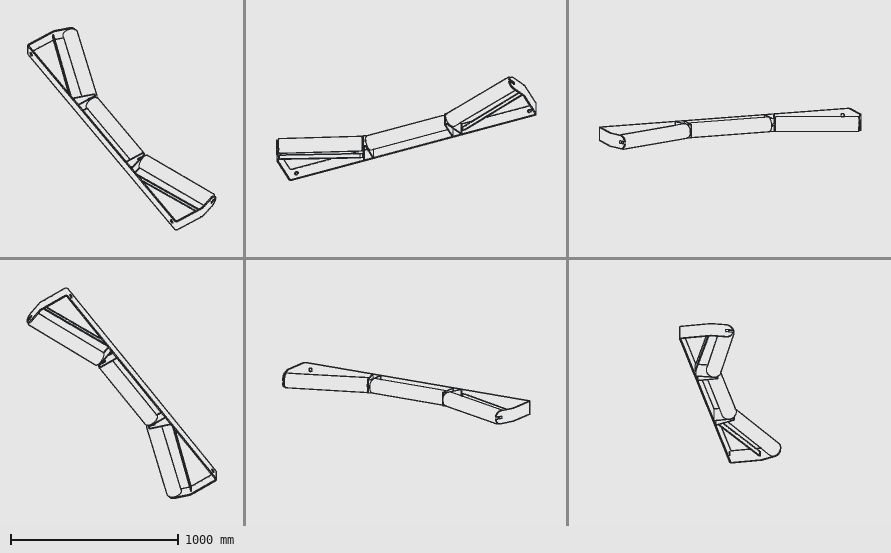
import cadquery as cq
import math

frame_length = 1600.0
strip_width = 80.0
frame_thickness = 8.0
corner_radius = 15.0
arm_bend_radius = 16.0
arm_tip_rise = 35.0

hole_diameter = 22.0
hole_x = 754.0

roller_diameter = 90.0
roller_length = 500.0
roller_edge_radius = 5.0
roller_gap = 5.0
shaft_diameter = 20.0
shaft_flat_width = 15.0

center_roller_y = 100.0
wing_angle = 20.0
wing_x = 520.0
wing_y = 195.0

bracket_thickness = 5.0
bracket_top_y = 131.0
bracket_bend_radius = 8.0

strut_thickness = 6.0
strut_width = 30.0
strut_wall_y = 187.0
strut_foot_x = 325.0

support_face = roller_length / 2 + roller_gap
arm_far_face = support_face + frame_thickness
bracket_far_face = support_face + bracket_thickness

tilt = math.radians(wing_angle)
wall_outer_x = -frame_length / 2
wall_inner_x = wall_outer_x + frame_thickness



def on_center(shape):
    """Move a shape built around the origin along X to the middle roller's place."""
    return shape.translate((0, center_roller_y, 0))


def on_left_wing(shape):
    """Move a shape built around the origin along X to the left wing roller's place."""
    return shape.rotate((0, 0, 0), (0, 0, 1), -wing_angle).translate((-wing_x, wing_y, 0))


def wing_point(along, across):
    """Point in the XY plane, given along the left wing axis and square to it."""
    x = -wing_x + along * math.cos(tilt) + across * math.sin(tilt)
    y = wing_y - along * math.sin(tilt) + across * math.cos(tilt)
    return x, y


def wing_plane_x(along, y):
    """X at height y on the plane square to the left wing axis."""
    x0, y0 = wing_point(along, 0)
    return x0 + (y - y0) * math.tan(tilt)


def wing_plane_y(along, x):
    """Y at position x on the plane square to the left wing axis."""
    x0, y0 = wing_point(along, 0)
    return y0 + (x - x0) / math.tan(tilt)


def mirrored(shape):
    """Right-hand twin of a left-hand shape."""
    return shape.mirror("YZ")



def sheet(points, width):
    """Flat outline in XY given a width along Z, centred on Z = 0."""
    return cq.Workplane("XY").workplane(offset=-width / 2).polyline(points).close().extrude(width)


def round_bend(body, point, radius):
    """Round the edge along Z that passes through an outline corner."""
    x, y = point
    return body.edges(cq.NearestToPointSelector((x, y, 0))).fillet(radius)


def shaft(start_x, end_x):
    """Round bar along X with two flats facing up and down in Z."""
    length = end_x - start_x
    bar = cq.Workplane("YZ").workplane(offset=start_x).circle(shaft_diameter / 2).extrude(length)
    flats = cq.Workplane("XY").box(length, shaft_diameter, shaft_flat_width)
    return bar.intersect(flats.translate((start_x + length / 2, 0, 0)))


def shaft_slot(start_x, end_x):
    """Cutter for an open slot into which the flatted shaft drops along -Y."""
    opening = cq.Workplane("XY").box(end_x - start_x, strip_width, shaft_flat_width)
    opening = opening.translate(((start_x + end_x) / 2, strip_width / 2, 0))
    return shaft(start_x, end_x).union(opening)



def make_roller(left_end, right_end):
    """Drum along X with rounded rims, one piece with its shaft."""
    drum = cq.Workplane("YZ").workplane(offset=-roller_length / 2)
    drum = drum.circle(roller_diameter / 2).extrude(roller_length)
    drum = drum.faces("<X or >X").edges().fillet(roller_edge_radius)
    return drum.union(shaft(left_end, right_end))


def arm_tip_cutter():
    """Material to remove so that an arm ends in a half circle."""
    center_y = arm_tip_rise - strip_width / 2
    blank = cq.Workplane("XY").box(frame_thickness, strip_width, 2 * strip_width)
    blank = blank.translate((-support_face - frame_thickness / 2, center_y + strip_width / 2, 0))
    disc = cq.Workplane("YZ", origin=(-arm_far_face, center_y, 0)).circle(strip_width / 2)
    return blank.cut(disc.extrude(frame_thickness))


def make_left_half_frame():
    """Left half of the base with its wall and its slotted arm."""
    corner = (wall_outer_x, 0)
    inner_corner = (wall_inner_x, frame_thickness)
    bend = (wall_outer_x, wing_plane_y(-arm_far_face, wall_outer_x))
    inner_bend = (wall_inner_x, wing_plane_y(-support_face, wall_inner_x))
    half = sheet(
        [
            (0, 0),
            corner,
            bend,
            wing_point(-arm_far_face, arm_tip_rise),
            wing_point(-support_face, arm_tip_rise),
            inner_bend,
            inner_corner,
            (0, frame_thickness),
        ],
        strip_width,
    )
    half = round_bend(half, corner, corner_radius)
    half = round_bend(half, inner_corner, corner_radius - frame_thickness)
    half = round_bend(half, bend, arm_bend_radius)
    half = round_bend(half, inner_bend, arm_bend_radius - frame_thickness)
    half = half.cut(on_left_wing(arm_tip_cutter()))
    half = half.cut(on_left_wing(shaft_slot(-arm_far_face, -support_face)))
    hole = cq.Workplane("XZ").center(-hole_x, 0).circle(hole_diameter / 2).extrude(-frame_thickness)
    return half.cut(hole)


def make_frame():
    """Whole frame, joined from its two mirrored halves."""
    half = make_left_half_frame()
    return half.union(mirrored(half)).clean()


def make_left_bracket():
    """Strip bent into a leg square to the wing roller, a short top and an upright leg."""
    foot_y = frame_thickness
    under_y = bracket_top_y - bracket_thickness
    wing_bend = (wing_plane_x(support_face, bracket_top_y), bracket_top_y)
    wing_inner_bend = (wing_plane_x(bracket_far_face, under_y), under_y)
    bend = (-support_face, bracket_top_y)
    inner_bend = (-bracket_far_face, under_y)
    bracket = sheet(
        [
            (wing_plane_x(support_face, foot_y), foot_y),
            wing_bend,
            bend,
            (-support_face, foot_y),
            (-bracket_far_face, foot_y),
            inner_bend,
            wing_inner_bend,
            (wing_plane_x(bracket_far_face, foot_y), foot_y),
        ],
        strip_width,
    )
    for outer_corner in (wing_bend, bend):
        bracket = round_bend(bracket, outer_corner, bracket_bend_radius)
    for inner_corner in (wing_inner_bend, inner_bend):
        bracket = round_bend(bracket, inner_corner, bracket_bend_radius - bracket_thickness)
    bracket = bracket.cut(on_left_wing(shaft_slot(support_face, bracket_far_face)))
    return bracket.cut(on_center(shaft_slot(-bracket_far_face, -support_face)))


def make_left_strut():
    """Sloping bar cut off flush against the wall and the base."""
    slope = math.atan2(strut_wall_y - frame_thickness, -strut_foot_x - wall_inner_x)
    wall_cut = strut_thickness / math.cos(slope)
    foot_cut = strut_thickness / math.sin(slope)
    return sheet(
        [
            (wall_inner_x, strut_wall_y),
            (-strut_foot_x, frame_thickness),
            (-strut_foot_x - foot_cut, frame_thickness),
            (wall_inner_x, strut_wall_y - wall_cut),
        ],
        strut_width,
    )


frame = make_frame()
center_roller = on_center(make_roller(-bracket_far_face, bracket_far_face))
left_wing_roller = on_left_wing(make_roller(-arm_far_face, bracket_far_face))

bodies = [frame.solids().val(), center_roller.solids().val()]
for left_body in (left_wing_roller, make_left_bracket(), make_left_strut()):
    bodies.append(left_body.solids().val())
    bodies.append(mirrored(left_body).solids().val())

result = cq.Compound.makeCompound(bodies)